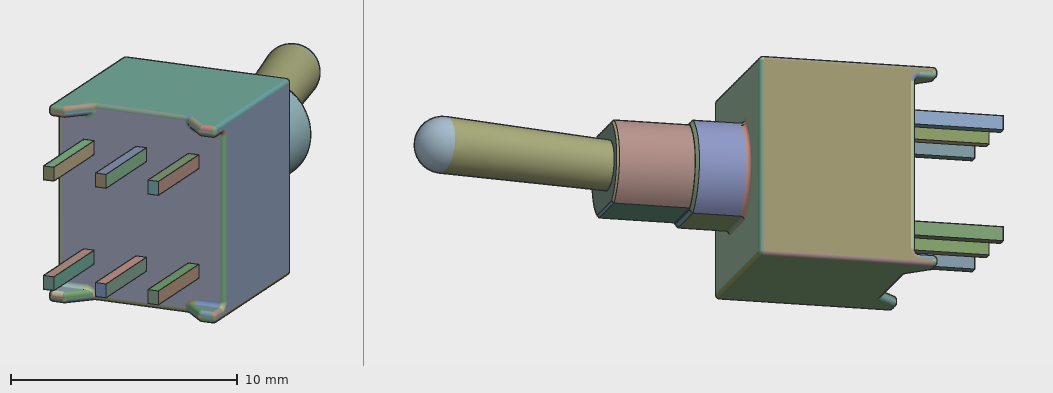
import cadquery as cq
import math


case_width = 8.1
case_height = 9.1
case_depth = 7.1
edge_radius = 0.2

foot_length = 1.0
foot_thickness = 0.5
foot_tip_width = 0.8
foot_root_width = foot_tip_width + foot_length
foot_embed = 0.53

lower_radius = 2.5
lower_length = 2.5
upper_radius = 2.32
bushing_length = 6.05
flat_half_width = 1.33
shoulder_chamfer = 0.15
mouth_chamfer = 0.1
base_fillet = 0.2

lever_angle = 11.8
lever_pivot_y = 3.2
lever_tip_y = 15.25
ball_diameter = 2.53
ball_radius = ball_diameter / 2
lever_root_diameter = 2.15
lever_root_radius = lever_root_diameter / 2

pin_width = 0.5
pin_thickness = 0.65
pin_pitch_x = 2.53
pin_row_spacing = 2 * pin_pitch_x
pin_end_y = -11.4
pin_embed = 0.53


def make_foot(side, bottom_z):
    rear_y = -case_depth
    outer_x = side * case_width / 2
    tip_x = side * (case_width / 2 - foot_tip_width)
    root_x = side * (case_width / 2 - foot_root_width)
    return (
        cq.Workplane("XY", origin=(0, 0, bottom_z))
        .moveTo(outer_x, rear_y + foot_embed)
        .lineTo(outer_x, rear_y - foot_length)
        .lineTo(tip_x, rear_y - foot_length)
        .lineTo(root_x, rear_y)
        .lineTo(root_x, rear_y + foot_embed)
        .close()
        .extrude(foot_thickness)
    )


def make_case():
    case = cq.Workplane("XY").box(case_width, case_depth, case_height)
    case = case.translate((0, -case_depth / 2, 0))
    for bottom_z in (-case_height / 2, case_height / 2 - foot_thickness):
        for side in (-1, 1):
            case = case.union(make_foot(side, bottom_z))
    return case.clean().edges().fillet(edge_radius)


def make_bushing_step(radius, length, chamfer):
    flat_height = 2 * math.sqrt(radius**2 - flat_half_width**2)
    barrel = cq.Workplane("XZ").circle(radius).extrude(-length)
    slab = cq.Workplane("XY").box(2 * radius, 2 * length, flat_height)
    return barrel.intersect(slab).faces(">Y").chamfer(chamfer)


def fillet_bushing_base(body):
    footprint = cq.selectors.BoxSelector(
        (-lower_radius - base_fillet, -base_fillet, -lower_radius - base_fillet),
        (lower_radius + base_fillet, base_fillet, lower_radius + base_fillet),
        boundingbox=True,
    )
    return body.edges(footprint).fillet(base_fillet)


def make_lever():
    shaft_length = (lever_tip_y - ball_radius - lever_pivot_y) / math.cos(math.radians(lever_angle))
    lever = (
        cq.Workplane("XY")
        .lineTo(-lever_root_radius, 0)
        .lineTo(-ball_radius, shaft_length)
        .radiusArc((0, shaft_length + ball_radius), ball_radius)
        .close()
        .revolve(360, (0, 0, 0), (0, 1, 0))
    )
    return lever.rotate((0, 0, 0), (0, 0, 1), lever_angle).translate((0, lever_pivot_y, 0))


def make_pins():
    start_y = pin_embed - case_depth
    return (
        cq.Workplane("XZ", origin=(0, start_y, 0))
        .rarray(pin_pitch_x, pin_row_spacing, 3, 2)
        .rect(pin_width, pin_thickness)
        .extrude(start_y - pin_end_y)
    )


case_and_collar = make_case().union(make_bushing_step(lower_radius, lower_length, shoulder_chamfer))

result = (
    fillet_bushing_base(case_and_collar)
    .union(make_bushing_step(upper_radius, bushing_length, mouth_chamfer))
    .union(make_lever())
    .union(make_pins())
)